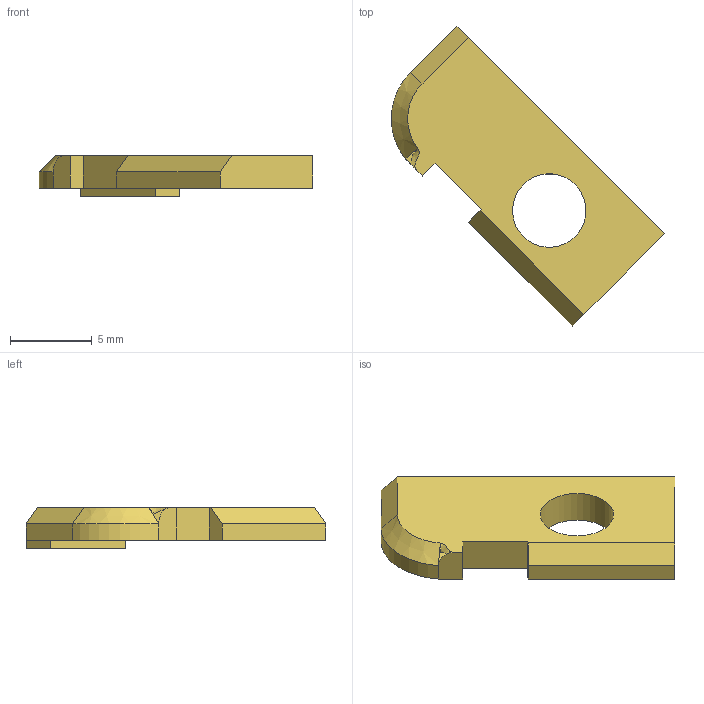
import cadquery as cq
import math

turn_angle = -45

length = 18.0
width = 8.0
thickness = 2.0
hole_diameter = 4.5
hole_to_right_end = 6.0
right = hole_to_right_end
left = right - length
back = width / 2
front = -width / 2
chamfer_size = 1.0

nose_radius = 4.0
nose_length = 3.5
nose_end_x = left + nose_length
nose_center_x = left + nose_radius
nose_center_y = front + math.sqrt(nose_radius**2 - (nose_center_x - nose_end_x) ** 2)

left_end_to_notch = 5.0
notch_left = left + left_end_to_notch
notch_length = 4.0
notch_right = notch_left + notch_length
notch_depth = 1.1
notch_floor = front + notch_depth

pad_length = 6.5
pad_width = 2.1
pad_height = 0.5


def make_plate():
    """Plate with the rounded nose and the notch, standing on Z = 0."""
    nose_end_angle = math.atan2(front - nose_center_y, nose_end_x - nose_center_x)
    nose_mid_angle = (nose_end_angle - math.pi) / 2
    nose_mid = (
        nose_center_x + nose_radius * math.cos(nose_mid_angle),
        nose_center_y + nose_radius * math.sin(nose_mid_angle),
    )
    outline = (
        cq.Workplane("XY")
        .moveTo(right, back)
        .lineTo(left, back)
        .lineTo(left, nose_center_y)
        .threePointArc(nose_mid, (nose_end_x, front))
        .lineTo(notch_left, front)
        .lineTo(notch_left, notch_floor)
        .lineTo(notch_right, notch_floor)
        .lineTo(notch_right, front)
        .lineTo(right, front)
        .close()
    )
    return outline.extrude(thickness)


def chamfer_top_edges(plate):
    """Chamfer the left end, the nose and the front edge right of the notch."""
    left_end_point = (left, (back + nose_center_y) / 2, thickness)
    front_point = ((notch_right + right) / 2, front, thickness)
    plate = plate.edges(cq.NearestToPointSelector(front_point)).chamfer(chamfer_size)
    return plate.edges(cq.NearestToPointSelector(left_end_point)).chamfer(chamfer_size)


def make_pad():
    """Shallow rectangular pad below the plate, flush with its left and back sides."""
    return (
        cq.Workplane("XY")
        .box(pad_length, pad_width, pad_height, centered=False)
        .translate((left, back - pad_width, -pad_height))
    )


def make_hole():
    """Cylinder that is removed through the plate."""
    return cq.Workplane("XY").circle(hole_diameter / 2).extrude(thickness)


body = chamfer_top_edges(make_plate()).cut(make_hole()).union(make_pad(), clean=False)
result = body.rotate((0, 0, 0), (0, 0, 1), turn_angle)